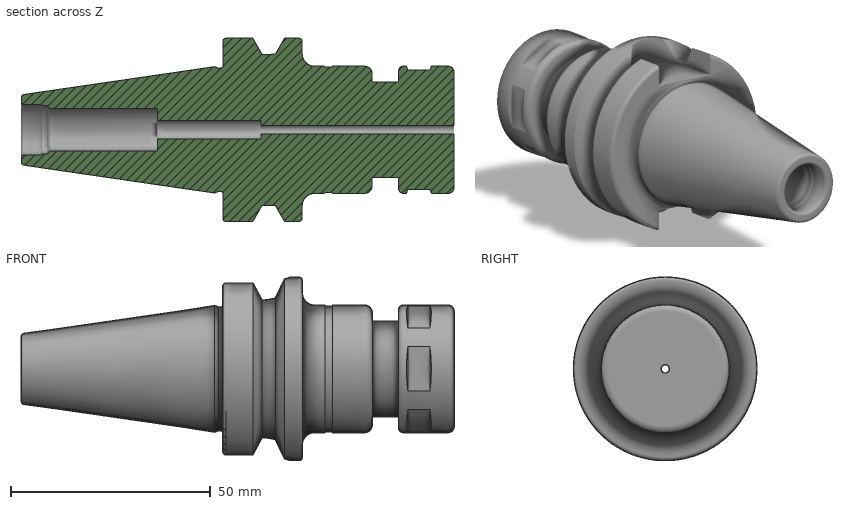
import cadquery as cq
import math


taper_length = 48.4
nose_x = 60.0

gauge_radius = 31.75 / 2
taper_ratio = 7 / 24
shank_end_fillet = 0.8

relief_cone_end_x = 1.0
undercut_radius = 15.5
undercut_fillet = 0.65
recess_x = 2.1
recess_floor_radius = 17.1
recess_mouth_radius = 17.4

flange_start_x = 2.0
flange_radius = 23.0
flange_end_x = 22.0
flange_edge_fillet = 0.9
groove_bottom_radius = 19.0
groove_center_x = 13.55
groove_bottom_width = 3.3
groove_wall_angle = 30.0

body_radius = 16.0
body_end_x = 39.5
body_end_fillet = 2.0
root_fillet = 3.0
band_groove_start_x = 27.6
band_groove_end_x = 29.5
band_groove_depth = 0.2

nut_neck_radius = 12.0
nut_radius = 16.0
nut_start_x = 46.0
nut_rear_fillet = 1.3
nut_front_fillet = 1.6

flat_count = 6
flat_apothem = 15.0
flat_start_x = 48.4
flat_end_x = 53.9
flat_wall_angle = 20.0

slot_width = 16.1
slot_end_x = 19.0
slot_floor_height = 16.3

mouth_radius = 12.5 / 2
mouth_fillet = 0.75
mouth_depth = 5.0
relief_radius = 12.0 / 2
relief_end_depth = 6.5
thread_radius = 10.5 / 2
thread_depth = 34.0
coolant_radius = 4.5 / 2
coolant_chamfer_radius = 5.0 / 2
coolant_depth = 60.0
through_radius = 2.0 / 2


def revolve_about_x(profile):
    """Close the half outline along the axis and spin it into a solid."""
    return profile.close().revolve(360, (0, 0, 0), (1, 0, 0))


def make_turned_body():
    shank_end_radius = gauge_radius - taper_length / 2 * taper_ratio
    groove_rise = flange_radius - groove_bottom_radius
    groove_run = groove_rise * math.tan(math.radians(groove_wall_angle))
    groove_bottom_start = groove_center_x - groove_bottom_width / 2
    groove_bottom_end = groove_center_x + groove_bottom_width / 2
    band_radius = body_radius - band_groove_depth
    profile = (
        cq.Workplane("XY")
        .moveTo(-taper_length, 0)
        .lineTo(-taper_length, shank_end_radius)
        .lineTo(0, gauge_radius)
        .lineTo(relief_cone_end_x, undercut_radius)
        .lineTo(recess_x, undercut_radius)
        .lineTo(recess_x, recess_floor_radius)
        .lineTo(flange_start_x, recess_mouth_radius)
        .lineTo(flange_start_x, flange_radius)
        .lineTo(groove_bottom_start - groove_run, flange_radius)
        .lineTo(groove_bottom_start, groove_bottom_radius)
        .lineTo(groove_bottom_end, groove_bottom_radius)
        .lineTo(groove_bottom_end + groove_run, flange_radius)
        .lineTo(flange_end_x, flange_radius)
        .lineTo(flange_end_x, body_radius)
        .lineTo(band_groove_start_x, body_radius)
        .lineTo(band_groove_start_x, band_radius)
        .lineTo(band_groove_end_x, band_radius)
        .lineTo(band_groove_end_x, body_radius)
        .lineTo(body_end_x, body_radius)
        .lineTo(body_end_x, nut_neck_radius)
        .lineTo(nut_start_x, nut_neck_radius)
        .lineTo(nut_start_x, nut_radius)
        .lineTo(nose_x, nut_radius)
        .lineTo(nose_x, 0)
    )
    fillets = [
        (-taper_length, shank_end_radius, shank_end_fillet),
        (recess_x, undercut_radius, undercut_fillet),
        (flange_start_x, flange_radius, flange_edge_fillet),
        (flange_end_x, flange_radius, flange_edge_fillet),
        (flange_end_x, body_radius, root_fillet),
        (body_end_x, body_radius, body_end_fillet),
        (nut_start_x, nut_radius, nut_rear_fillet),
        (nose_x, nut_radius, nut_front_fillet),
    ]
    body = revolve_about_x(profile)
    for x, radius, fillet in fillets:
        body = round_edge(body, x, radius, fillet)
    return body


def round_edge(body, x, radius, fillet):
    """Fillet the circular edge of the given radius at station x."""
    tolerance = 0.01
    reach = radius + tolerance
    lower_corner = (x - tolerance, -reach, -reach)
    upper_corner = (x + tolerance, reach, reach)
    ring_box = cq.selectors.BoxSelector(lower_corner, upper_corner, boundingbox=True)
    circles = body.edges(ring_box).edges("%CIRCLE").vals()
    rings = [circle for circle in circles if abs(circle.radius() - radius) < tolerance]
    return body.newObject(rings).fillet(fillet)


def make_bore():
    """Stepped bore with 45 degree cones near the mouth and flat ends on the deeper holes."""
    relief_start_depth = mouth_depth + mouth_radius - relief_radius
    thread_start_depth = relief_end_depth + relief_radius - thread_radius
    coolant_start_depth = thread_depth + coolant_chamfer_radius - coolant_radius
    depth_and_radius = [
        (0, mouth_radius),
        (mouth_depth, mouth_radius),
        (relief_start_depth, relief_radius),
        (relief_end_depth, relief_radius),
        (thread_start_depth, thread_radius),
        (thread_depth, thread_radius),
        (thread_depth, coolant_chamfer_radius),
        (coolant_start_depth, coolant_radius),
        (coolant_depth, coolant_radius),
        (coolant_depth, through_radius),
        (taper_length + nose_x, through_radius),
    ]
    profile = cq.Workplane("XY").moveTo(-taper_length, 0)
    for depth, radius in depth_and_radius:
        profile = profile.lineTo(depth - taper_length, radius)
    return revolve_about_x(profile.lineTo(nose_x, 0))


def make_drive_slot():
    """Cutter for the upper slot, open towards the shank."""
    slot_radius = slot_width / 2
    arc_center_x = slot_end_x - slot_radius
    return (
        cq.Workplane("XY")
        .workplane(offset=slot_floor_height)
        .moveTo(0, -slot_radius)
        .lineTo(arc_center_x, -slot_radius)
        .threePointArc((slot_end_x, 0), (arc_center_x, slot_radius))
        .lineTo(0, slot_radius)
        .close()
        .extrude(flange_radius)
    )


def make_flat_cutter():
    """Cutter for one flat, its end walls sloping outwards."""
    height = 2 * (nut_radius - flat_apothem)
    flare = height * math.tan(math.radians(flat_wall_angle))
    top = flat_apothem + height
    return (
        cq.Workplane("XZ")
        .moveTo(flat_start_x, flat_apothem)
        .lineTo(flat_end_x, flat_apothem)
        .lineTo(flat_end_x + flare, top)
        .lineTo(flat_start_x - flare, top)
        .close()
        .extrude(nut_radius, both=True)
        .rotate((0, 0, 0), (1, 0, 0), 90)
    )


result = make_turned_body().cut(make_bore())
result = round_edge(result, -taper_length, mouth_radius, mouth_fillet)

drive_slot = make_drive_slot()
for angle in (0, 180):
    result = result.cut(drive_slot.rotate((0, 0, 0), (1, 0, 0), angle))

flat_cutter = make_flat_cutter()
for index in range(flat_count):
    result = result.cut(flat_cutter.rotate((0, 0, 0), (1, 0, 0), index * 360 / flat_count))